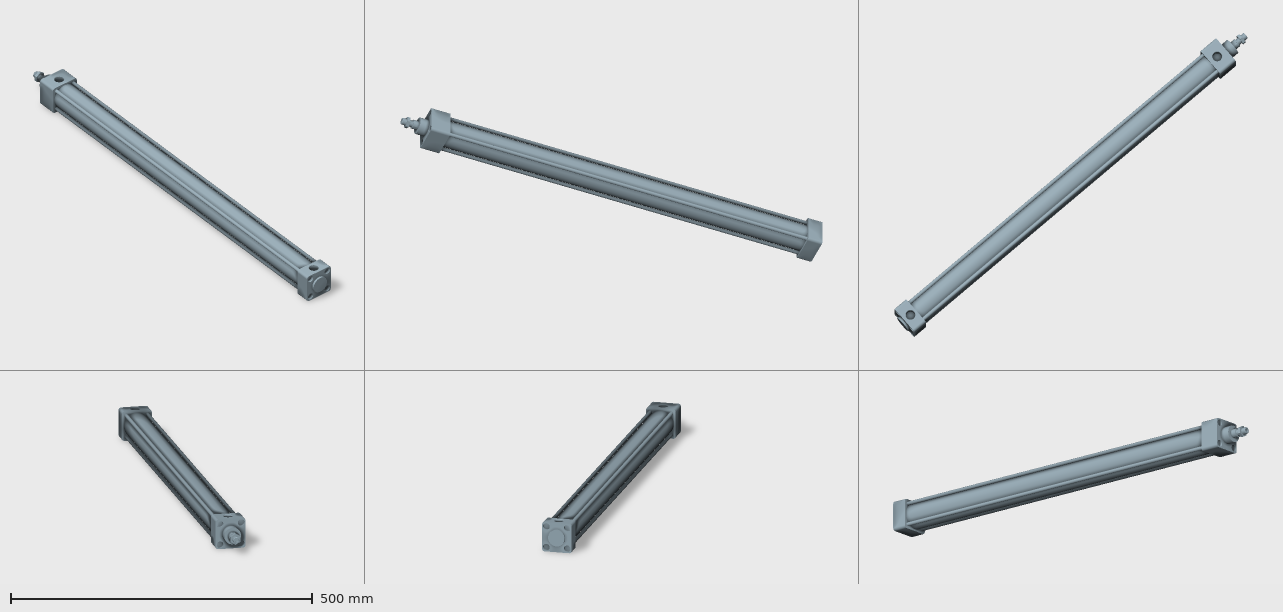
import cadquery as cq

OVERALL_LENGTH = 749.0

BLOCK_SIDE = 51.0
BLOCK_CORNER_RADIUS = 4.5
HEAD_START = 43.5
HEAD_LENGTH = 34.0
CAP_LENGTH = 25.5
BOSS_DIAMETER = 28.5
HEAD_BOSS_LENGTH = 15.0
CAP_BOSS_LENGTH = 4.0

PORT_DIAMETER = 16.0
PORT_DEPTH = 12.0
PORT_CHAMFER = 1.0
HEAD_PORT_FROM_FACE = 19.0
CAP_PORT_FROM_TUBE = 12.0

TUBE_DIAMETER = 44.0
BORE_DIAMETER = 38.0

TIE_ROD_DIAMETER = 6.3
TIE_ROD_SPACING = 36.0
TIE_RECESS_DIAMETER = 11.0
TIE_RECESS_DEPTH = 4.5

ROD_DIAMETER = 15.0
THREAD_DIAMETER = 11.0
THREAD_LENGTH = 19.0
THREAD_CHAMFER = 1.0
CENTER_HOLE_DIAMETER = 6.4
CENTER_HOLE_DEPTH = 4.0
FLAT_START = 20.0
FLAT_LENGTH = 6.0
ACROSS_FLATS = 14.0
NUT_START = 7.5
NUT_THICKNESS = 5.0
NUT_ACROSS_FLATS = 16.5

HEAD_END = HEAD_START + HEAD_LENGTH
CAP_END = OVERALL_LENGTH - CAP_BOSS_LENGTH
CAP_START = CAP_END - CAP_LENGTH
TIE_ROD_START = HEAD_START + TIE_RECESS_DEPTH
TIE_ROD_END = CAP_END - TIE_RECESS_DEPTH


def cross_section(x):
    """Workplane across the axis at x, with local x along Y and local y along Z."""
    return cq.Workplane("YZ", origin=(x, 0, 0))


def cylinder(x, length, diameter):
    return cross_section(x).circle(diameter / 2).extrude(length)


def tie_cylinders(x, length, diameter):
    """Four cylinders on the tie rod axes."""
    return (
        cross_section(x)
        .rect(TIE_ROD_SPACING, TIE_ROD_SPACING, forConstruction=True)
        .vertices()
        .circle(diameter / 2)
        .extrude(length)
    )


def end_block(x, length, port_x):
    """Square block with rounded corners, tie rod holes and a port in its top."""
    block = cross_section(x).rect(BLOCK_SIDE, BLOCK_SIDE).extrude(length)
    block = block.edges("|X").fillet(BLOCK_CORNER_RADIUS)
    port_mouth = cq.Workplane("XY", origin=(port_x, 0, BLOCK_SIDE / 2))
    port = port_mouth.circle(PORT_DIAMETER / 2).extrude(-PORT_DEPTH)
    port_edge = cq.Workplane(
        cq.Solid.makeCone(
            PORT_DIAMETER / 2,
            PORT_DIAMETER / 2 + PORT_CHAMFER,
            PORT_CHAMFER,
            pnt=cq.Vector(port_x, 0, BLOCK_SIDE / 2 - PORT_CHAMFER),
        )
    )
    tie_holes = tie_cylinders(x, length, TIE_ROD_DIAMETER)
    return block.cut(port).cut(port_edge).cut(tie_holes)


def make_head():
    head = end_block(HEAD_START, HEAD_LENGTH, HEAD_START + HEAD_PORT_FROM_FACE)
    boss_start = HEAD_START - HEAD_BOSS_LENGTH
    head = head.union(cylinder(boss_start, HEAD_BOSS_LENGTH, BOSS_DIAMETER))
    head = head.cut(cylinder(boss_start, HEAD_END - boss_start, ROD_DIAMETER))
    return head.cut(tie_cylinders(HEAD_START, TIE_RECESS_DEPTH, TIE_RECESS_DIAMETER))


def make_cap():
    cap = end_block(CAP_START, CAP_LENGTH, CAP_START + CAP_PORT_FROM_TUBE)
    cap = cap.union(cylinder(CAP_END, CAP_BOSS_LENGTH, BOSS_DIAMETER))
    return cap.cut(tie_cylinders(TIE_ROD_END, TIE_RECESS_DEPTH, TIE_RECESS_DIAMETER))


def make_tube():
    length = CAP_START - HEAD_END
    return cylinder(HEAD_END, length, TUBE_DIAMETER).cut(cylinder(HEAD_END, length, BORE_DIAMETER))


def make_tie_rod(y, z):
    """Tie rod that ends level with the floors of the recesses in the head and the cap."""
    rod = cylinder(TIE_ROD_START, TIE_ROD_END - TIE_ROD_START, TIE_ROD_DIAMETER)
    return rod.translate((0, y, z))


def make_piston_rod():
    """Rod with a thinner thread end and two wrench flats, ending level with the back of the head."""
    rod = cylinder(THREAD_LENGTH, HEAD_END - THREAD_LENGTH, ROD_DIAMETER)
    flat_depth = (ROD_DIAMETER - ACROSS_FLATS) / 2
    for side in (-1, 1):
        waste = cq.Workplane("XY").box(FLAT_LENGTH, ROD_DIAMETER, flat_depth)
        waste_z = side * (ACROSS_FLATS + flat_depth) / 2
        rod = rod.cut(waste.translate((FLAT_START + FLAT_LENGTH / 2, 0, waste_z)))
    thread = cylinder(0, THREAD_LENGTH, THREAD_DIAMETER).faces("<X").chamfer(THREAD_CHAMFER)
    return rod.union(thread).cut(cylinder(0, CENTER_HOLE_DEPTH, CENTER_HOLE_DIAMETER))


def make_nut():
    """Hexagonal nut with two corners on the Z axis."""
    nut = (
        cross_section(NUT_START)
        .polygon(6, NUT_ACROSS_FLATS, circumscribed=True)
        .extrude(NUT_THICKNESS)
    )
    return nut.cut(cylinder(NUT_START, NUT_THICKNESS, THREAD_DIAMETER))


head = make_head()
cap = make_cap()
tube = make_tube()
piston_rod = make_piston_rod()
nut = make_nut()
tie_rods = []
for y_side in (-1, 1):
    for z_side in (-1, 1):
        tie_rods.append(make_tie_rod(y_side * TIE_ROD_SPACING / 2, z_side * TIE_ROD_SPACING / 2))

result = cq.Compound.makeCompound(
    [
        head.val(),
        cap.val(),
        tube.val(),
        piston_rod.val(),
        nut.val(),
        *[tie_rod.val() for tie_rod in tie_rods],
    ]
)